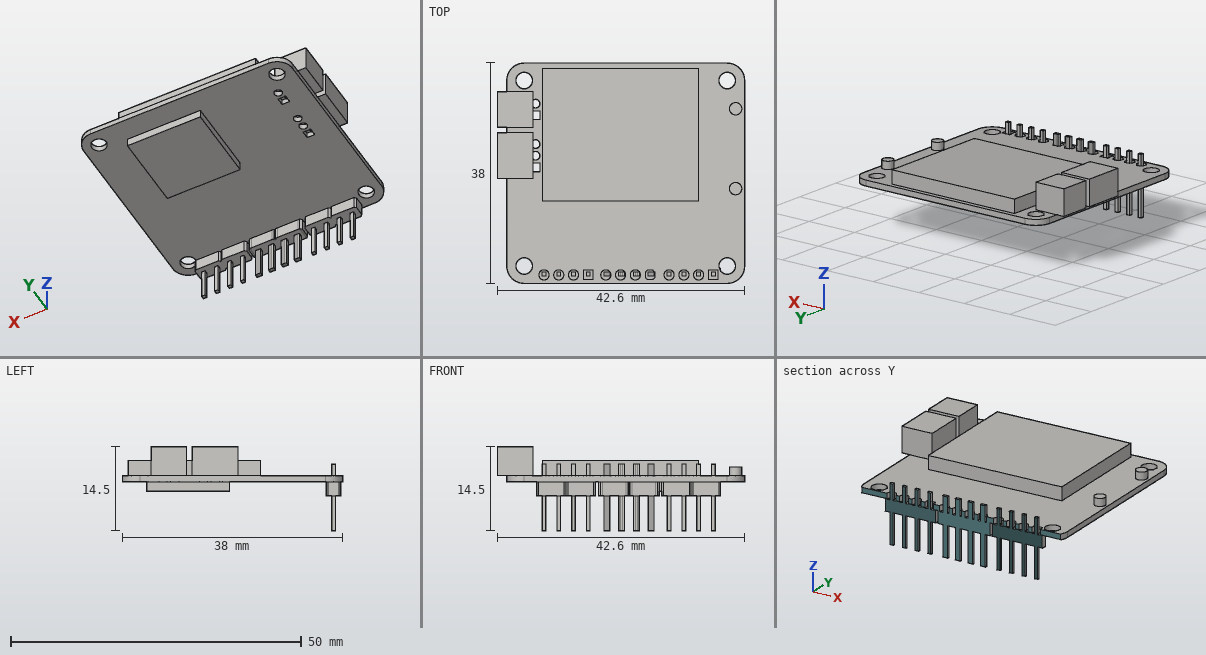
import cadquery as cq


overall_length = 42.6
overall_height = 14.5

connector_overhang = 1.58
board_length = overall_length - connector_overhang
board_width = 38.0
board_thickness = 1.1
corner_radius = 3.02
mounting_hole_diameter = 2.8

display_left = 6.15
display_back_margin = 1.0
display_length = 26.9
display_width = 22.82
display_height = 2.6

connector_length = 6.15
connector_height = 5.0
connector_gap = 0.95
small_connector_width = 6.15
wide_connector_width = 7.9
small_connector_back_margin = 4.95
contact_pitch = 2.0
contact_hole_x = 5.0
contact_hole_size = 1.45

button_diameter = 2.15
button_height = 1.5
button_x = board_length - 1.58
button_back_margins = (7.88, 21.65)

chip_size = 14.3
chip_height = 1.6
chip_back_margin = 4.17

pins_per_header = 4
pins_per_block = 2
pin_row_span = 7.62
pin_pitch = pin_row_span / (pins_per_header - 1)
pin_width = 0.7
pin_top = 1.95
pin_bottom = connector_height - overall_height
housing_width = 2.55
housing_height = 2.4
housing_chamfer = 0.35
header_y = 1.6
left_header_x = 6.45
middle_header_x = 17.07
right_header_x = 27.98
middle_row_shift = 0.35

pin_hole_y = 1.5
pin_hole_diameter = 1.75
square_hole_size = 1.6
clipped_corner = 0.35


def block(x, y, z, length, width, height):
    """Box whose lowest corner is at (x, y, z)."""
    return cq.Workplane("XY").box(length, width, height, centered=False).translate((x, y, z))


def square_cutter(x, y, size):
    """Square prism through the board's thickness, centred on (x, y)."""
    return block(x - size / 2, y - size / 2, -board_thickness, size, size, board_thickness)


def round_cutter(x, y, diameter):
    """Cylinder through the board's thickness, centred on (x, y)."""
    return cq.Workplane("XY").center(x, y).circle(diameter / 2).extrude(-board_thickness)


def pin_positions(first_x):
    return [first_x + i * pin_pitch for i in range(pins_per_header)]


def cut_header_holes(board, first_x, last_hole_clipped=False):
    """Round holes for all pins but the last, which has a square hole, clipped at its corners if asked."""
    *round_positions, square_x = pin_positions(first_x)
    for x in round_positions:
        board = board.cut(round_cutter(x, pin_hole_y, pin_hole_diameter))
    square_hole = square_cutter(square_x, pin_hole_y, square_hole_size)
    if last_hole_clipped:
        square_hole = square_hole.edges("|Z").chamfer(clipped_corner)
    return board.cut(square_hole)


def cut_contact_holes(board, center_y, contact_count):
    """Row of connector contact holes along Y; the front one is square, the others round."""
    front_y = center_y - (contact_count - 1) * contact_pitch / 2
    board = board.cut(square_cutter(contact_hole_x, front_y, contact_hole_size))
    for i in range(1, contact_count):
        hole_y = front_y + i * contact_pitch
        board = board.cut(round_cutter(contact_hole_x, hole_y, contact_hole_size))
    return board


def make_header(first_x):
    """Pin header: chamfered two-pin housing blocks under the board, joined in a row, with square pins."""
    block_length = pins_per_block * pin_pitch
    housing_z = -board_thickness - housing_height
    header = cq.Workplane("XY")
    for i in range(pins_per_header // pins_per_block):
        housing = block(
            first_x - pin_pitch / 2 + i * block_length, header_y - housing_width / 2, housing_z,
            block_length, housing_width, housing_height,
        )
        header = header.union(housing.edges("|Z").chamfer(housing_chamfer))
    for x in pin_positions(first_x):
        pin = block(
            x - pin_width / 2, header_y - pin_width / 2, pin_bottom,
            pin_width, pin_width, pin_top - pin_bottom,
        )
        header = header.union(pin)
    return header


def make_connector(front_y, width):
    return block(-connector_overhang, front_y, 0, connector_length, width, connector_height)


def make_button(back_margin):
    center = cq.Workplane("XY").center(button_x, board_width - back_margin)
    return center.circle(button_diameter / 2).extrude(button_height)


small_connector_y = board_width - small_connector_back_margin - small_connector_width
wide_connector_y = small_connector_y - connector_gap - wide_connector_width


def make_board():
    """Rounded board with all its holes; the doubled middle header is one piece with it."""
    board = block(0, 0, -board_thickness, board_length, board_width, board_thickness)
    board = board.edges("|Z").fillet(corner_radius)

    for x in (corner_radius, board_length - corner_radius):
        for y in (corner_radius, board_width - corner_radius):
            board = board.cut(round_cutter(x, y, mounting_hole_diameter))

    board = cut_contact_holes(board, small_connector_y + small_connector_width / 2, 2)
    board = cut_contact_holes(board, wide_connector_y + wide_connector_width / 2, 3)

    board = cut_header_holes(board, left_header_x)
    board = cut_header_holes(board, middle_header_x, last_hole_clipped=True)
    board = cut_header_holes(board, right_header_x)

    for shift in (0, middle_row_shift):
        board = board.union(make_header(middle_header_x + shift), clean=False)
    return board


board = make_board()

display = block(
    display_left, board_width - display_back_margin - display_width, 0,
    display_length, display_width, display_height,
)

small_connector = make_connector(small_connector_y, small_connector_width)
wide_connector = make_connector(wide_connector_y, wide_connector_width)

buttons = [make_button(back_margin) for back_margin in button_back_margins]

chip = block(
    display_left + display_length - chip_size,
    board_width - chip_back_margin - chip_size,
    -board_thickness - chip_height,
    chip_size, chip_size, chip_height,
)

headers = [make_header(first_x) for first_x in (left_header_x, right_header_x)]

result = cq.Compound.makeCompound([
    board.val(),
    display.val(),
    small_connector.val(),
    wide_connector.val(),
    *[button.val() for button in buttons],
    chip.val(),
    *[header.val() for header in headers],
])